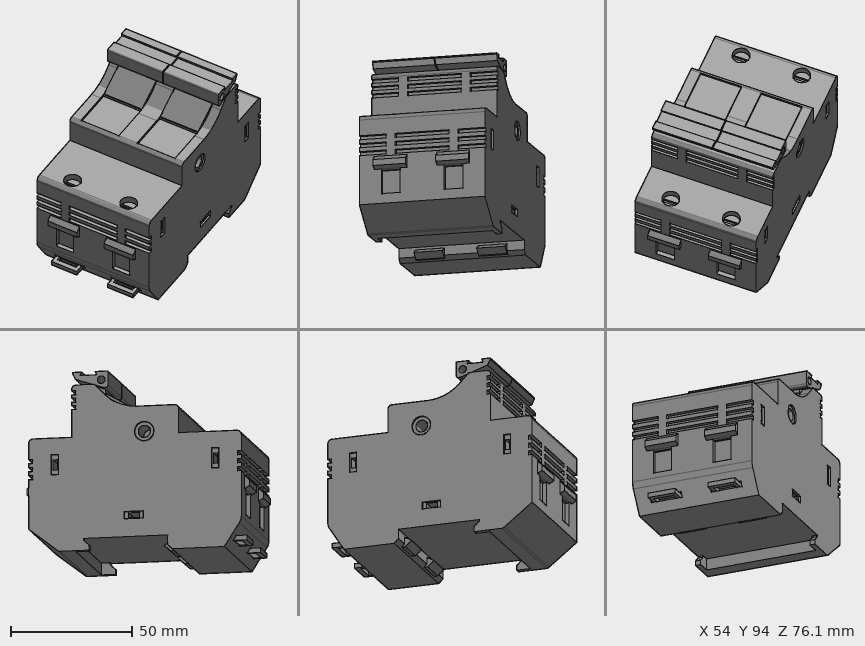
import cadquery as cq
import math

WIDTH = 54.0
SIDE_X = WIDTH / 2
MODULE_X = WIDTH / 4
MODULE_CENTRES = (-MODULE_X, MODULE_X)
LENGTH = 89.9
END_Y = LENGTH / 2
SHOULDER_Z = 48.8
SHOULDER_RADIUS = 2.0

TOWER_REAR_Y = 26.7
TOWER_FRONT_Y = -18.4
TOWER_REAR_Z = 70.7
TOWER_FRONT_Z = 60.7
TOWER_RADIUS = 1.7

SLOPE_ANGLE = math.radians(45)
HOLLOW_RADIUS = 19.5
HOLLOW_END_Y = -0.8
ARC_START_Y = HOLLOW_END_Y + HOLLOW_RADIUS * math.sin(SLOPE_ANGLE)
ARC_START_Z = TOWER_FRONT_Z + HOLLOW_RADIUS * (1 - math.cos(SLOPE_ANGLE))
SLOPE_TOP_Y = ARC_START_Y + (TOWER_REAR_Z - ARC_START_Z) / math.tan(SLOPE_ANGLE)

REAR_FOOT_Z = 0.9
REAR_FOOT_RADIUS = 1.7
REAR_LIP_WIDTH = 2.35
REAR_LIP_GAP_END_Y = 25.4
REAR_BEVEL_Y = 32.15
REAR_BEVEL_Z = 10.8
FRONT_BEVEL_Y = -37.8
FRONT_BEVEL_Z = 11.1
BEVEL_RADIUS = 5.2
RAIL_Z = 5.9
RAIL_REAR_Y = 21.7
RAIL_FRONT_Y = -13.8
RAIL_LIP_Y = 19.4
RAIL_LIP_Z = 3.0
RAIL_UNDERCUT_Z = 5.3
FRONT_FOOT_CHAMFER = 1.9

PANEL_WIDTH = 18.2
PANEL_TOP_Y = 13.4
PANEL_TOP_Z = 67.7
PANEL_END_Y = 1.5
LABEL_DEPTH = 0.9

HANDLE_TOP_Z = 76.1
HANDLE_BOTTOM_Z = 69.3
HANDLE_FRONT_Y = 11.4
HANDLE_TIP_Y = 26.4
HANDLE_INSET = 0.3
HANDLE_GAP = 0.5
HANDLE_CORNER_RADIUS = 0.9
GROOVE_REAR_Y = 22.7
GROOVE_FRONT_Y = 16.8
GROOVE_DEPTH = 1.4
GROOVE_UNDERCUT = 0.6
HANDLE_TOP_RADIUS = 0.4
HANDLE_NOSE_HEIGHT = 0.6
GRIP_HEEL_Y = 25.2
GRIP_HEEL_Z = 73.1
HANDLE_HOLE_Y = 14.3
HANDLE_HOLE_Z = 72.6
HANDLE_HOLE_RADIUS = 1.6

VENT_ROWS = 3
VENT_HEIGHT = 1.7
VENT_DEPTH = 1.7
END_VENT_PITCH = 3.4
TOWER_VENT_PITCH = 3.1
VENT_MIDDLE_WIDTH = 23.0
VENT_SIDE_INNER_X = 15.4
END_VENT_Z = 39.3
TOWER_VENT_Z = 67.5

SCREW_Y = 38.8
SCREW_RADIUS = 3.7
SCREW_DEPTH = 2.9
SCREW_SLOT_WIDTH = 1.4
SCREW_SLOT_DEPTH = 0.9

POCKET_DEPTH = 0.9
END_POCKET_Y = 33.8
END_POCKET_Z = 37.6
END_POCKET_SIZE = (3.0, 8.5)
END_PASSAGE_SIZE = (1.8, 4.3)
LOW_POCKET_Y = 0.6
LOW_POCKET_Z = 15.0
LOW_POCKET_SIZE = (8.1, 3.0)
LOW_PASSAGE_SIZE = (4.7, 2.1)

RIVET_Y = -3.9
RIVET_Z = 50.1
RIVET_HEAD_RADIUS = 4.0
RIVET_RADIUS = 2.5
RIVET_HEAD_DEPTH = 0.75
RIVET_DEPTH = 11.3

NOSE_WIDTH = 14.0
NOSE_TIP_Y = 47.0
NOSE_TOP_Z = 30.9
NOSE_TIP_TOP_Z = 29.1
NOSE_TIP_BOTTOM_Z = 26.6
NOSE_BOTTOM_Z = 25.4
NOSE_ROOT_Z = 24.9
NOSE_ROOT_DEPTH = 0.8
WINDOW_WIDTH = 8.1
WINDOW_BOTTOM_Z = 14.9
WINDOW_DEPTH = 1.9

TAB_FRONT_Y = -45.7
TAB_THICKNESS = 2.0
TAB_WIDTH = 12.2
LATCH_SLOT_WIDTH = 14.0
LATCH_SLOT_END_Y = -37.6
TAB_HOLE_WIDTH = 8.9
TAB_HOLE_FRONT_Y = -43.4
HOOK_TIP_Y = -10.7
HOOK_TIP_Z = 3.1
HOOK_TOP_Z = 4.9
HOOK_BOTTOM_Y = -13.5
HOOK_BOTTOM_Z = 0.7
HOOK_ROOT_Y = -16.0

CUT_MARGIN = 0.9


def box(x_range, y_range, z_range):
    """Box between the given limits on each axis."""
    size = [high - low for low, high in (x_range, y_range, z_range)]
    corner = (x_range[0], y_range[0], z_range[0])
    return cq.Workplane("XY").box(*size, centered=False).translate(corner)


def across(profile, centre_x, width):
    """Extrude a closed (Y, Z) profile along X, centred on centre_x."""
    return profile.extrude(width).translate((centre_x - width / 2, 0, 0))


def outline(points):
    """Closed straight-sided profile of (Y, Z) points."""
    return cq.Workplane("YZ").polyline(points).close()


def round_edge(solid, y, z, radius):
    """Fillet the crosswise edge nearest to (y, z)."""
    edge = solid.edges("|X").edges(cq.selectors.NearestToPointSelector((0, y, z)))
    return edge.fillet(radius)


def opposite_copy(solid):
    """The same shape mirrored to the opposite end of the housing."""
    return solid.mirror("XZ")


def make_housing():
    arc_mid_y = HOLLOW_END_Y + HOLLOW_RADIUS * math.sin(SLOPE_ANGLE / 2)
    arc_mid_z = TOWER_FRONT_Z + HOLLOW_RADIUS * (1 - math.cos(SLOPE_ANGLE / 2))
    profile = (
        cq.Workplane("YZ")
        .moveTo(END_Y, REAR_BEVEL_Z)
        .lineTo(END_Y, SHOULDER_Z)
        .lineTo(TOWER_REAR_Y, SHOULDER_Z)
        .lineTo(TOWER_REAR_Y, TOWER_REAR_Z)
        .lineTo(SLOPE_TOP_Y, TOWER_REAR_Z)
        .lineTo(ARC_START_Y, ARC_START_Z)
        .threePointArc((arc_mid_y, arc_mid_z), (HOLLOW_END_Y, TOWER_FRONT_Z))
        .lineTo(TOWER_FRONT_Y, TOWER_FRONT_Z)
        .lineTo(TOWER_FRONT_Y, SHOULDER_Z)
        .lineTo(-END_Y, SHOULDER_Z)
        .lineTo(-END_Y, FRONT_BEVEL_Z)
        .lineTo(FRONT_BEVEL_Y, 0)
        .lineTo(RAIL_FRONT_Y - FRONT_FOOT_CHAMFER, 0)
        .lineTo(RAIL_FRONT_Y, FRONT_FOOT_CHAMFER)
        .lineTo(RAIL_FRONT_Y, RAIL_Z)
        .lineTo(RAIL_REAR_Y, RAIL_Z)
        .lineTo(RAIL_REAR_Y, RAIL_UNDERCUT_Z)
        .lineTo(RAIL_LIP_Y, RAIL_LIP_Z)
        .lineTo(RAIL_LIP_Y, REAR_FOOT_Z)
        .lineTo(REAR_BEVEL_Y, REAR_FOOT_Z)
        .close()
    )
    housing = across(profile, 0, WIDTH)
    rounded_corners = (
        (END_Y, SHOULDER_Z, SHOULDER_RADIUS),
        (-END_Y, SHOULDER_Z, SHOULDER_RADIUS),
        (TOWER_REAR_Y, TOWER_REAR_Z, TOWER_RADIUS),
        (TOWER_FRONT_Y, TOWER_FRONT_Z, TOWER_RADIUS),
        (-END_Y, FRONT_BEVEL_Z, BEVEL_RADIUS),
        (REAR_BEVEL_Y, REAR_FOOT_Z, REAR_FOOT_RADIUS),
    )
    for y, z, radius in rounded_corners:
        housing = round_edge(housing, y, z, radius)
    return housing


def make_rear_lip_gap():
    gap_x = SIDE_X - REAR_LIP_WIDTH
    return box((-gap_x, gap_x), (RAIL_LIP_Y, REAR_LIP_GAP_END_Y), (0, RAIL_Z))


def make_label_recess(centre_x):
    x_range = (centre_x - PANEL_WIDTH / 2, centre_x + PANEL_WIDTH / 2)
    y_range = (TOWER_FRONT_Y + TOWER_RADIUS, PANEL_END_Y)
    return box(x_range, y_range, (TOWER_FRONT_Z - LABEL_DEPTH, TOWER_FRONT_Z + CUT_MARGIN))


def make_panel(centre_x):
    root_z = TOWER_FRONT_Z - LABEL_DEPTH
    points = [
        (PANEL_END_Y, root_z),
        (PANEL_END_Y, TOWER_FRONT_Z),
        (PANEL_TOP_Y, PANEL_TOP_Z),
        (PANEL_TOP_Y, HANDLE_BOTTOM_Z),
        (SLOPE_TOP_Y, TOWER_REAR_Z),
        (SLOPE_TOP_Y, root_z),
    ]
    return across(outline(points), centre_x, PANEL_WIDTH)


def make_handle(centre_x):
    floor_z = HANDLE_TOP_Z - GROOVE_DEPTH
    points = [
        (HANDLE_FRONT_Y, HANDLE_BOTTOM_Z),
        (HANDLE_FRONT_Y, HANDLE_TOP_Z),
        (GROOVE_FRONT_Y, HANDLE_TOP_Z),
        (GROOVE_FRONT_Y - GROOVE_UNDERCUT, floor_z),
        (GROOVE_REAR_Y + GROOVE_UNDERCUT, floor_z),
        (GROOVE_REAR_Y, HANDLE_TOP_Z),
        (HANDLE_TIP_Y, HANDLE_TOP_Z),
        (HANDLE_TIP_Y, HANDLE_TOP_Z - HANDLE_NOSE_HEIGHT),
        (GRIP_HEEL_Y, GRIP_HEEL_Z),
        (PANEL_TOP_Y, HANDLE_BOTTOM_Z),
    ]
    width = SIDE_X - HANDLE_INSET - HANDLE_GAP / 2
    offset = math.copysign((HANDLE_GAP / 2 + SIDE_X - HANDLE_INSET) / 2, centre_x)
    handle = across(outline(points), offset, width)
    handle = round_edge(handle, HANDLE_FRONT_Y, HANDLE_BOTTOM_Z, HANDLE_CORNER_RADIUS)
    handle = round_edge(handle, HANDLE_FRONT_Y, HANDLE_TOP_Z, HANDLE_TOP_RADIUS)
    hole = cq.Workplane("YZ").center(HANDLE_HOLE_Y, HANDLE_HOLE_Z).circle(HANDLE_HOLE_RADIUS)
    return handle.cut(across(hole, offset, 2 * width))


def make_vents(wall_y, top_row_z, pitch):
    """Cutters for the rows of slots in the wall at wall_y, on either end of the housing."""
    inner_y = wall_y - math.copysign(VENT_DEPTH, wall_y)
    outer_y = wall_y + math.copysign(CUT_MARGIN, wall_y)
    y_range = sorted((inner_y, outer_y))
    x_ranges = (
        (-SIDE_X - CUT_MARGIN, -VENT_SIDE_INNER_X),
        (-VENT_MIDDLE_WIDTH / 2, VENT_MIDDLE_WIDTH / 2),
        (VENT_SIDE_INNER_X, SIDE_X + CUT_MARGIN),
    )
    vents = cq.Workplane("XY")
    for row in range(VENT_ROWS):
        z = top_row_z - row * pitch
        for x_range in x_ranges:
            vents = vents.add(box(x_range, y_range, (z - VENT_HEIGHT / 2, z + VENT_HEIGHT / 2)))
    return vents.combine()


def make_screw_recess(x, y):
    floor_z = SHOULDER_Z - SCREW_DEPTH
    bore = cq.Workplane("XY", origin=(x, y, floor_z)).circle(SCREW_RADIUS)
    bore = bore.extrude(SCREW_DEPTH + CUT_MARGIN)
    slot = box(
        (x - SCREW_RADIUS, x + SCREW_RADIUS),
        (y - SCREW_SLOT_WIDTH / 2, y + SCREW_SLOT_WIDTH / 2),
        (floor_z - SCREW_SLOT_DEPTH, floor_z),
    )
    slot_end = cq.Workplane("XY", origin=(x, y, floor_z - SCREW_SLOT_DEPTH))
    slot = slot.intersect(slot_end.circle(SCREW_RADIUS).extrude(SCREW_SLOT_DEPTH))
    return bore.union(slot)


def from_both_sides(profile, depth):
    """Cutter of the given depth in both side faces, from a (Y, Z) profile."""
    full = across(profile, 0, WIDTH)
    core_x = SIDE_X - depth
    core = box((-core_x, core_x), (-LENGTH, LENGTH), (0, HANDLE_TOP_Z))
    return full.cut(core)


def make_side_opening(y, z, pocket_size, passage_size):
    face = cq.Workplane("YZ").center(y, z)
    pockets = from_both_sides(face.rect(*pocket_size), POCKET_DEPTH)
    passage = across(cq.Workplane("YZ").center(y, z).rect(*passage_size), 0, WIDTH)
    return pockets.union(passage)


def make_rivet_holes():
    heads = cq.Workplane("YZ").center(RIVET_Y, RIVET_Z).circle(RIVET_HEAD_RADIUS)
    holes = cq.Workplane("YZ").center(RIVET_Y, RIVET_Z).circle(RIVET_RADIUS)
    return from_both_sides(heads, RIVET_HEAD_DEPTH).union(from_both_sides(holes, RIVET_DEPTH))


def make_window(centre_x):
    x_range = (centre_x - WINDOW_WIDTH / 2, centre_x + WINDOW_WIDTH / 2)
    y_range = (END_Y - WINDOW_DEPTH, END_Y + CUT_MARGIN)
    return box(x_range, y_range, (WINDOW_BOTTOM_Z, NOSE_BOTTOM_Z))


def make_nose(centre_x):
    points = [
        (END_Y - WINDOW_DEPTH, NOSE_TOP_Z),
        (END_Y, NOSE_TOP_Z),
        (NOSE_TIP_Y, NOSE_TIP_TOP_Z),
        (NOSE_TIP_Y, NOSE_TIP_BOTTOM_Z),
        (END_Y, NOSE_BOTTOM_Z),
        (END_Y - NOSE_ROOT_DEPTH, NOSE_ROOT_Z),
        (END_Y - WINDOW_DEPTH, NOSE_ROOT_Z),
    ]
    return across(outline(points), centre_x, NOSE_WIDTH)


def make_latch_slot(centre_x):
    x_range = (centre_x - LATCH_SLOT_WIDTH / 2, centre_x + LATCH_SLOT_WIDTH / 2)
    return box(x_range, (TAB_FRONT_Y, LATCH_SLOT_END_Y), (RAIL_Z - TAB_THICKNESS, RAIL_Z))


def make_latch(centre_x):
    x_range = (centre_x - TAB_WIDTH / 2, centre_x + TAB_WIDTH / 2)
    hole_x_range = (centre_x - TAB_HOLE_WIDTH / 2, centre_x + TAB_HOLE_WIDTH / 2)
    z_range = (RAIL_Z - TAB_THICKNESS, RAIL_Z)
    tab = box(x_range, (TAB_FRONT_Y, LATCH_SLOT_END_Y), z_range)
    tab = tab.cut(box(hole_x_range, (TAB_HOLE_FRONT_Y, LATCH_SLOT_END_Y), z_range))
    hook_points = [
        (HOOK_TIP_Y, HOOK_TIP_Z),
        (RAIL_FRONT_Y, HOOK_TOP_Z),
        (HOOK_ROOT_Y, HOOK_TOP_Z),
        (HOOK_ROOT_Y, HOOK_BOTTOM_Z),
        (HOOK_BOTTOM_Y, HOOK_BOTTOM_Z),
    ]
    return tab.union(across(outline(hook_points), centre_x, TAB_WIDTH))


result = make_housing()

result = result.cut(make_rear_lip_gap())
result = result.cut(make_vents(END_Y, END_VENT_Z, END_VENT_PITCH))
result = result.cut(make_vents(-END_Y, END_VENT_Z, END_VENT_PITCH))
result = result.cut(make_vents(TOWER_REAR_Y, TOWER_VENT_Z, TOWER_VENT_PITCH))
result = result.cut(make_rivet_holes())
result = result.cut(make_side_opening(LOW_POCKET_Y, LOW_POCKET_Z, LOW_POCKET_SIZE, LOW_PASSAGE_SIZE))
for end_y in (-END_POCKET_Y, END_POCKET_Y):
    result = result.cut(make_side_opening(end_y, END_POCKET_Z, END_POCKET_SIZE, END_PASSAGE_SIZE))

for module_x in MODULE_CENTRES:
    window = make_window(module_x)
    nose = make_nose(module_x)
    result = result.cut(make_label_recess(module_x))
    result = result.cut(window).cut(opposite_copy(window))
    result = result.union(nose).union(opposite_copy(nose))
    result = result.union(make_panel(module_x))
    result = result.union(make_handle(module_x))
    result = result.cut(make_latch_slot(module_x))
    result = result.union(make_latch(module_x))
    for screw_y in (-SCREW_Y, SCREW_Y):
        result = result.cut(make_screw_recess(module_x, screw_y))